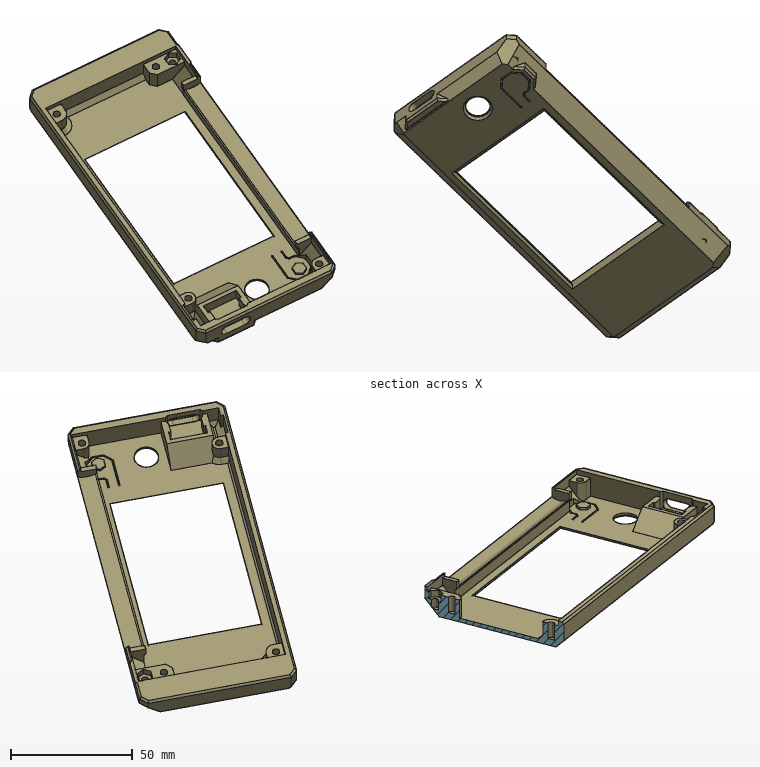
import cadquery as cq
import math

LENGTH = 141.0
WIDTH = 66.0
HEIGHT = 12.4
X_END = LENGTH / 2
Y_END = WIDTH / 2
BOTTOM_BEVEL = 4.0
REAR_BEVEL = 6.9
RIM_BEVEL = 0.8
CORNER_CUT = 3.0
FACET_RUN = 0.8
FRONT_FACET_TOP = 4.8
REAR_FACET_TOP = 8.5

FLOOR = 2.0
CAVITY_LEFT = -59.4
CAVITY_RIGHT = 66.7
CAVITY_FRONT = -30.2
CAVITY_REAR = 31.6
LEFT_SLOPE = 2.1
FRONT_SLOPE = 0.8
REAR_SLOPE = 5.8

WINDOW_LEFT = -35.4
WINDOW_RIGHT = 36.7
WINDOW_FRONT = -25.5
WINDOW_REAR = 22.1
ROUND_HOLE_X = 56.3
ROUND_HOLE_Y = 2.5
ROUND_HOLE_DIAMETER = 10.0
LAND = 1.0

TROUGH_LEFT = -41.5
TROUGH_RIGHT = 48.8
CHEEK = 2.0
CHEEK_TOP = 11.0
TROUGH_FRONT = 25.0
TROUGH_LIP = 0.7
TROUGH_EDGE = 7.6
TROUGH_SAG = 1.0

TAB_LEFT = -60.2
TAB_RIGHT = -48.6

POST_TOP = 10.3
SCREW_DIAMETER = 3.0
SCREW_DEPTH = 7.0
LEFT_POST_X = -55.8
FRONT_POST_Y = -27.0
REAR_POST_Y = 28.0
SPARE_HOLE_Y = 20.2
FRONT_RIGHT_POST_X = 51.0
REAR_RIGHT_POST_X = 63.2
LEFT_POST_RIGHT = -52.0
LEFT_REAR_POST_FRONT = 16.2
LEFT_REAR_POST_CUT = 2.4
LEFT_FRONT_POST_REAR = -22.8
POST_RADIUS = 3.0
POST_ROUNDING = 2.8
FLARE = 2.1
NUT_WIDTH = 6.5
NUT_DEPTH = 3.1

BUTTON_X = 56.5
BUTTON_Y = 22.5
BUTTON_WIDTH = 5.9
BUTTON_TOP = 3.1
SLOT = 0.5
TONGUE_ROOT = 44.3
HEAD_X = 55.3
HEAD_Y = 22.0
HEAD_HALF = 5.6
HEAD_CUT = 3.2
ARM_REAR = 20.9
ARM_CORNER = 1.0
BOSS_REAR = 30.2
BOSS_FLAT = 7.0

USB_Y = -15.7
USB_BLOCK_WIDTH = 19.5
USB_BLOCK_TOP = 9.9
USB_BLOCK_LEFT = 55.5
USB_RAMP_LEFT = 47.5
USB_FLOOR = 4.7
USB_POCKET_LEFT = 57.2
USB_POCKET_WIDTH = 15.5
USB_NECK_LEFT = 61.0
USB_NECK_WIDTH = 13.7
USB_WALL_RECESS = 0.8
USB_SLOT_BOTTOM = 4.2
USB_SLOT_HEIGHT = 5.2
USB_PAD_FLAT = 16.9

PIT_LEFT = FRONT_RIGHT_POST_X + POST_RADIUS
PIT_RECESS_RIGHT = 62.7
PIT_RECESS_FRONT = -31.3
PIT_FLARE = 2.0


def box(x0, x1, y0, y1, z0, z1):
    """Axis-aligned block given by its limits."""
    return cq.Workplane("XY").box(x1 - x0, y1 - y0, z1 - z0, centered=False).translate((x0, y0, z0))


def prism(points, z0, z1):
    """Vertical prism on a closed plan outline."""
    return cq.Workplane("XY").workplane(offset=z0).polyline(points).close().extrude(z1 - z0)


def hexagon(x, y, width, z0, z1):
    return cq.Workplane("XY").workplane(offset=z0).center(x, y).polygon(6, width).extrude(z1 - z0)


def corner_cutter(side_x, side_y, facet_top):
    """Vertical corner cut that turns inwards as a sloping facet below facet_top."""
    cut_depth = CORNER_CUT / math.sqrt(2)
    foot_depth = cut_depth + FACET_RUN * facet_top
    plane = cq.Plane(
        origin=(side_x * X_END, side_y * Y_END, 0),
        xDir=(side_x, side_y, 0),
        normal=(side_y, -side_x, 0),
    )
    outline = [
        (-foot_depth, 0), (-cut_depth, facet_top), (-cut_depth, HEIGHT), (CORNER_CUT, HEIGHT), (CORNER_CUT, 0),
    ]
    return cq.Workplane(plane).polyline(outline).close().extrude(WIDTH / 4, both=True)


def make_envelope():
    side_profile = [
        (-Y_END + BOTTOM_BEVEL, 0), (Y_END - REAR_BEVEL, 0), (Y_END, REAR_BEVEL),
        (Y_END, HEIGHT), (-Y_END, HEIGHT), (-Y_END, BOTTOM_BEVEL),
    ]
    end_profile = [
        (-X_END + BOTTOM_BEVEL, 0), (X_END - BOTTOM_BEVEL, 0), (X_END, BOTTOM_BEVEL),
        (X_END, HEIGHT), (-X_END, HEIGHT), (-X_END, BOTTOM_BEVEL),
    ]
    lengthwise = cq.Workplane("YZ").polyline(side_profile).close().extrude(X_END, both=True)
    crosswise = cq.Workplane("XZ").polyline(end_profile).close().extrude(Y_END, both=True)
    envelope = lengthwise.intersect(crosswise)
    for side_x in (-1, 1):
        envelope = envelope.cut(corner_cutter(side_x, -1, FRONT_FACET_TOP))
        envelope = envelope.cut(corner_cutter(side_x, 1, REAR_FACET_TOP))
    return envelope.faces(">Z").edges().chamfer(RIM_BEVEL)


def make_cavity():
    cavity = box(CAVITY_LEFT, CAVITY_RIGHT, CAVITY_FRONT, CAVITY_REAR, FLOOR, HEIGHT)
    cavity = cavity.faces("<Z").edges(">Y").chamfer(REAR_SLOPE)
    cavity = cavity.faces("<Z").edges("<X").chamfer(LEFT_SLOPE)
    return cavity.faces("<Z").edges("<Y").chamfer(FRONT_SLOPE)


def bevelled_pad(points):
    """Outside pad down to the underside, bevelled around its bottom."""
    return prism(points, 0, REAR_BEVEL).faces("<Z").edges().chamfer(RIM_BEVEL)


def make_outer_pads():
    """Rear boss below the button and end pad around the connector, both with 45 degree flanks."""
    half_boss = BOSS_FLAT / 2
    half_pad = USB_PAD_FLAT / 2
    pad_depth = BOTTOM_BEVEL
    boss_wide = half_boss + BOSS_REAR - HEAD_Y
    boss = bevelled_pad([
        (HEAD_X - boss_wide, HEAD_Y), (HEAD_X + boss_wide, HEAD_Y),
        (HEAD_X + half_boss, BOSS_REAR), (HEAD_X - half_boss, BOSS_REAR),
    ])
    boss = boss.intersect(box(0, X_END, 0, Y_END, 0, BOSS_REAR - Y_END + REAR_BEVEL))
    pad = bevelled_pad([
        (X_END - pad_depth, USB_Y - half_pad - pad_depth), (X_END, USB_Y - half_pad),
        (X_END, USB_Y + half_pad), (X_END - pad_depth, USB_Y + half_pad + pad_depth),
    ])
    return boss.union(pad)


def post(x0, x1, y0, y1, rounded_edges, radius):
    """Post with the chosen vertical edges rounded."""
    return box(x0, x1, y0, y1, 0, POST_TOP).edges(rounded_edges).fillet(radius)


def flare(x0, x1, y0, y1, rounded_edges, radius):
    """45 degree skirt around the foot of a post."""
    skirt = box(x0 - FLARE, x1 + FLARE, y0 - FLARE, y1 + FLARE, 0, FLOOR + FLARE)
    skirt = skirt.edges(rounded_edges).fillet(radius + FLARE)
    return skirt.faces(">Z").edges().chamfer(FLARE)


def make_posts():
    rear_left = box(CAVITY_LEFT, LEFT_POST_RIGHT, LEFT_REAR_POST_FRONT, CAVITY_REAR, 0, POST_TOP)
    rear_left = rear_left.edges("|Z and >X and <Y").chamfer(LEFT_REAR_POST_CUT)
    rear_right = post(
        REAR_RIGHT_POST_X - POST_RADIUS, CAVITY_RIGHT, REAR_POST_Y - POST_RADIUS, CAVITY_REAR,
        "|Z and <X and <Y", POST_ROUNDING,
    )
    front_left_shape = (
        CAVITY_LEFT, LEFT_POST_RIGHT, CAVITY_FRONT, LEFT_FRONT_POST_REAR,
        "|Z and >X and >Y", LEFT_POST_RIGHT - LEFT_POST_X,
    )
    front_right_shape = (
        FRONT_RIGHT_POST_X - POST_RADIUS, FRONT_RIGHT_POST_X + POST_RADIUS,
        CAVITY_FRONT, FRONT_POST_Y + POST_RADIUS, "|Z and >Y", POST_ROUNDING,
    )
    posts = rear_left.union(rear_right)
    for shape in (front_left_shape, front_right_shape):
        posts = posts.union(post(*shape)).union(flare(*shape))
    return posts


def make_trough_body():
    """Wall and end cheeks of the trough, with a front lip that overhangs at 45 degrees."""
    wall = TROUGH_FRONT + TROUGH_LIP
    profile = [
        (wall, 0), (wall, TROUGH_EDGE - TROUGH_LIP), (TROUGH_FRONT, TROUGH_EDGE),
        (TROUGH_FRONT, CHEEK_TOP), (CAVITY_REAR, CHEEK_TOP), (CAVITY_REAR, 0),
    ]
    length = TROUGH_RIGHT - TROUGH_LEFT + 2 * CHEEK
    return cq.Workplane("YZ", origin=(TROUGH_LEFT - CHEEK, 0, 0)).polyline(profile).close().extrude(length)


def make_trough_cut():
    lip = TROUGH_FRONT + TROUGH_LIP
    middle = (lip + Y_END) / 2
    return (
        cq.Workplane("YZ").workplane(offset=TROUGH_LEFT)
        .moveTo(TROUGH_FRONT, TROUGH_EDGE)
        .lineTo(lip, TROUGH_EDGE)
        .threePointArc((middle, TROUGH_EDGE - TROUGH_SAG), (Y_END, TROUGH_EDGE))
        .lineTo(Y_END, HEIGHT)
        .lineTo(TROUGH_FRONT, HEIGHT)
        .close()
        .extrude(TROUGH_RIGHT - TROUGH_LEFT)
    )


def make_rim_tab():
    inner = Y_END - RIM_BEVEL
    return prism([
        (TAB_LEFT, inner), (TAB_RIGHT, inner), (TAB_RIGHT - RIM_BEVEL, Y_END), (TAB_LEFT + RIM_BEVEL, Y_END),
    ], HEIGHT - RIM_BEVEL, HEIGHT)


def make_usb_block():
    half = USB_BLOCK_WIDTH / 2
    outline = [
        (USB_RAMP_LEFT, FLOOR), (USB_BLOCK_LEFT, USB_BLOCK_TOP), (CAVITY_RIGHT, USB_BLOCK_TOP),
        (CAVITY_RIGHT, 0), (USB_RAMP_LEFT, 0),
    ]
    return cq.Workplane("XZ", origin=(0, USB_Y, 0)).polyline(outline).close().extrude(half, both=True)


def make_usb_cut():
    neck = USB_NECK_WIDTH / 2
    wide = USB_POCKET_WIDTH / 2
    pocket = box(USB_POCKET_LEFT, USB_NECK_LEFT, USB_Y - wide, USB_Y + wide, USB_FLOOR, HEIGHT)
    recess_end = CAVITY_RIGHT + USB_WALL_RECESS
    flare_start = CAVITY_RIGHT - 2 * USB_WALL_RECESS
    neck_cut = box(USB_NECK_LEFT, CAVITY_RIGHT, USB_Y - neck, USB_Y + neck, USB_FLOOR, HEIGHT)
    mouth = prism([
        (flare_start, USB_Y - neck), (CAVITY_RIGHT, USB_Y - wide), (recess_end, USB_Y - neck),
        (recess_end, USB_Y + neck), (CAVITY_RIGHT, USB_Y + wide), (flare_start, USB_Y + neck),
    ], USB_FLOOR, HEIGHT)
    opening = (
        cq.Workplane("YZ", origin=(recess_end, USB_Y, USB_SLOT_BOTTOM + USB_SLOT_HEIGHT / 2))
        .slot2D(USB_NECK_WIDTH, USB_SLOT_HEIGHT)
        .extrude(X_END - recess_end)
    )
    return pocket.union(neck_cut).union(mouth).union(opening)


def make_pit_fill():
    """Fills the foot of the front right pit so that its floor can be sunk with sloping sides."""
    return box(PIT_LEFT, CAVITY_RIGHT, CAVITY_FRONT, USB_Y - USB_BLOCK_WIDTH / 2, 0, FLOOR + PIT_FLARE)


def make_pit_cut():
    rear = USB_Y - USB_BLOCK_WIDTH / 2
    pit = box(PIT_LEFT, CAVITY_RIGHT, CAVITY_FRONT, rear, FLOOR, HEIGHT)
    pit = pit.faces("<Z").edges().chamfer(PIT_FLARE)
    slope_top = FLOOR + PIT_FLARE
    recess_profile = [
        (CAVITY_FRONT, slope_top), (PIT_RECESS_FRONT, slope_top + CAVITY_FRONT - PIT_RECESS_FRONT),
        (PIT_RECESS_FRONT, HEIGHT), (CAVITY_FRONT, HEIGHT),
    ]
    recess = cq.Workplane("YZ", origin=(PIT_LEFT, 0, 0)).polyline(recess_profile).close()
    recess = recess.extrude(PIT_RECESS_RIGHT - PIT_LEFT)
    return pit.union(recess)


def tongue_outline():
    """Octagonal head on an arm that runs left along the front side of the head."""
    left = HEAD_X - HEAD_HALF
    right = HEAD_X + HEAD_HALF
    front = HEAD_Y - HEAD_HALF
    rear = HEAD_Y + HEAD_HALF
    return [
        (TONGUE_ROOT, ARM_REAR), (left - ARM_CORNER, ARM_REAR), (left, ARM_REAR + ARM_CORNER),
        (left, rear - HEAD_CUT), (left + HEAD_CUT, rear), (right - HEAD_CUT, rear), (right, rear - HEAD_CUT),
        (right, front + HEAD_CUT), (right - HEAD_CUT, front), (TONGUE_ROOT, front),
    ]


def make_tongue_slot():
    """Narrow slot around three sides of the button tongue, plus clear space above the tongue."""
    outline = cq.Workplane("XY").polyline(tongue_outline()).close()
    outside = outline.offset2D(SLOT / 2, "intersection").extrude(TROUGH_EDGE)
    outline = cq.Workplane("XY").polyline(tongue_outline()).close()
    inside = outline.offset2D(-SLOT / 2, "intersection").extrude(TROUGH_EDGE)
    gap = outside.cut(inside)
    gap = gap.intersect(box(TONGUE_ROOT + SLOT, X_END, 0, Y_END, 0, HEIGHT))
    clearance = prism(tongue_outline(), FLOOR, TROUGH_EDGE)
    return gap.union(clearance)


def make_window():
    """Screen window widening downwards: fully bevelled ends, bevelled long sides with a straight land."""
    middle_x = (WINDOW_LEFT + WINDOW_RIGHT) / 2
    middle_y = (WINDOW_FRONT + WINDOW_REAR) / 2
    bevel = FLOOR - LAND
    end_profile = [
        (WINDOW_LEFT - FLOOR, 0), (WINDOW_RIGHT + FLOOR, 0), (WINDOW_RIGHT, FLOOR), (WINDOW_LEFT, FLOOR),
    ]
    side_profile = [
        (WINDOW_FRONT - bevel, 0), (WINDOW_REAR + bevel, 0), (WINDOW_REAR, bevel), (WINDOW_REAR, FLOOR),
        (WINDOW_FRONT, FLOOR), (WINDOW_FRONT, bevel),
    ]
    crosswise = cq.Workplane("XZ", origin=(0, middle_y, 0)).polyline(end_profile).close()
    lengthwise = cq.Workplane("YZ", origin=(middle_x, 0, 0)).polyline(side_profile).close()
    return crosswise.extrude(Y_END, both=True).intersect(lengthwise.extrude(X_END, both=True))


def make_round_hole():
    radius = ROUND_HOLE_DIAMETER / 2
    bevel = FLOOR - LAND
    outline = [(0, 0), (radius + bevel, 0), (radius, bevel), (radius, FLOOR), (0, FLOOR)]
    hole = cq.Workplane("XZ").polyline(outline).close().revolve(360, (0, 0, 0), (0, 1, 0))
    return hole.translate((ROUND_HOLE_X, ROUND_HOLE_Y, 0))


def make_screw_holes():
    """Blind screw holes in the posts, one of them with a hexagonal nut recess."""
    places = [
        (LEFT_POST_X, FRONT_POST_Y), (LEFT_POST_X, SPARE_HOLE_Y), (LEFT_POST_X, REAR_POST_Y),
        (FRONT_RIGHT_POST_X, FRONT_POST_Y), (REAR_RIGHT_POST_X, REAR_POST_Y),
    ]
    top = cq.Workplane("XY").workplane(offset=POST_TOP)
    holes = top.pushPoints(places).circle(SCREW_DIAMETER / 2).extrude(-SCREW_DEPTH)
    return holes.union(hexagon(LEFT_POST_X, REAR_POST_Y, NUT_WIDTH, POST_TOP - NUT_DEPTH, POST_TOP))


envelope = make_envelope()
inside_parts = make_posts().union(make_trough_body()).union(make_usb_block()).union(make_pit_fill())

result = envelope.union(make_outer_pads()).cut(make_cavity())
result = result.union(inside_parts.intersect(envelope)).union(make_rim_tab())
result = result.cut(make_trough_cut()).cut(make_usb_cut()).cut(make_pit_cut()).cut(make_tongue_slot())
result = result.cut(make_window()).cut(make_round_hole()).cut(make_screw_holes())

result = result.union(hexagon(BUTTON_X, BUTTON_Y, BUTTON_WIDTH, FLOOR / 2, BUTTON_TOP))